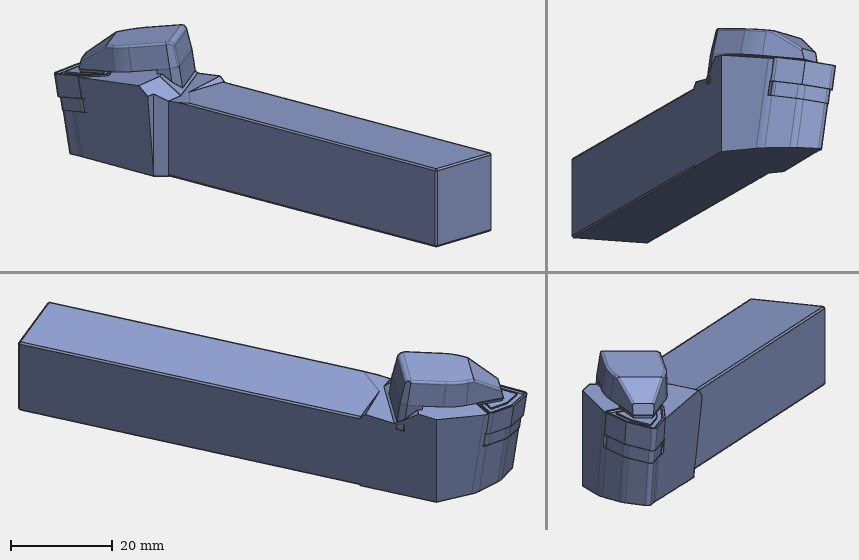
import cadquery as cq
import math

shank_end = 99.92
shank_size = 16.0
shank_chamfer = 0.35
tip_offset = 3.99
cutting_height = 16.35
seat_tilt = 8.45
far = 60.0

insert_circle = 9.525
insert_thickness = 4.76
corner_angle = 80.0
kink_angle = 160.0
tip_direction = 225.0
corner_spacing = 120.0
nose_radius = 0.8
rim_width = 0.4
groove_width = 1.2
groove_depth = 0.3
groove_wall_angle = 40.0
nose_setback = nose_radius * (math.sqrt(0.5) / math.sin(math.radians(corner_angle / 2)) - 1)

shim_thickness = 2.85
shim_inset = 0.3
support_inset = 0.38
shim_clearance = 0.1
support_kink_radius = 4.0

head_end = 27.5
head_wall_end = 25.4
head_wall_foot = -2.0
front_wall = 0.65
nose_support_end = 3.4
wall_step_length = 0.7
wall_lead_angle = 1.0
back_chamfer_start = 11.4
back_blend_radius = 5.0
back_edge_place = (4.5, 9.2)
deck_level = -0.3
floor_level = -4.25
step_along_clamp = 23.4
step_along_x = 23.35
step_angle = 45.0
end_slope = 40.0
head_blank_height = 24.0

clamp_turn = 30.0
clamp_rear = 26.9
clamp_back_side = 8.18
clamp_front_side = -4.6
rear_corner_back = (1.3, 0.8)
rear_corner_front = (1.7, 1.0)
front_bend = ((13.8, -3.97), (15.5, -4.45), (17.4, clamp_front_side))
back_bend = ((18.4, clamp_back_side), (16.0, 7.88), (13.6, 7.1))
clamp_top = 5.85
clamp_underside = 0.6
clamp_draft = 5.0
clamp_edge_radius = 0.5
clamp_rear_radius = 1.1
nose_start = 5.6
nose_back = 3.7
nose_front = -0.3
nose_height = 2.75
ridge = 12.65
ramp_foot = 6.5
foot_start = 22.5
foot_embed = 1.0
pad_inset = 0.2
pad_end = 11.0


def seat_to_part(shape):
    """Move a shape from the seat frame (tip at the origin, insert top at Z = 0) into the part."""
    tilted = shape.rotate((0, 0, 0), (1, -1, 0), seat_tilt)
    return tilted.translate((-nose_setback, -tip_offset - nose_setback, cutting_height))


def along_clamp(shape):
    return shape.rotate((0, 0, 0), (0, 0, 1), clamp_turn)


def polar(radius, angle):
    return radius * math.cos(math.radians(angle)), radius * math.sin(math.radians(angle))


edge_lead = 45 - corner_angle / 2
side_lead = 90 - edge_lead - (180 - kink_angle)
insert_radius = insert_circle / 2
insert_centre = polar(insert_radius / math.sin(math.radians(corner_angle / 2)), tip_direction - 180)


def trigon_point(inset, angle, corner):
    """Vertex of the inset outline, seen from the centre at `angle`, with that included angle."""
    radius = (insert_radius - inset) / math.sin(math.radians(corner / 2))
    x, y = polar(radius, angle)
    return insert_centre[0] + x, insert_centre[1] + y


def trigon_outline(inset):
    """Outline whose sides lie `inset` inside the insert's sides; tips and kinks alternate."""
    points = []
    for corner in range(3):
        tip_angle = tip_direction + corner * corner_spacing
        points.append(trigon_point(inset, tip_angle, corner_angle))
        points.append(trigon_point(inset, tip_angle + corner_spacing / 2, kink_angle))
    return points


def trigon(inset, top, depth, tip_radius=0.0, kink_radius=0.0):
    """Downward trigon prism with rounded corners."""
    points = trigon_outline(inset)
    prism = cq.Workplane().workplane(offset=top).polyline(points).close().extrude(-depth)
    for index, (x, y) in enumerate(points):
        radius = kink_radius if index % 2 else tip_radius
        if radius:
            edge = cq.selectors.NearestToPointSelector((x, y, top - depth / 2))
            prism = prism.edges("|Z").edges(edge).fillet(radius)
    return prism


def seat_block(level):
    """Everything above a level of the seat frame."""
    return cq.Workplane().workplane(offset=level).rect(2 * far, 2 * far).extrude(far)


def step_cut(start):
    """Everything beyond a sloping step from the deck down to the floor, along +X."""
    drop = deck_level - floor_level
    run = drop / math.tan(math.radians(step_angle))
    profile = [
        (start, deck_level),
        (start + run, floor_level),
        (start + far, floor_level),
        (start + far, far),
        (start, far),
    ]
    return cq.Workplane("XZ").polyline(profile).close().extrude(far, both=True)


insert_blank = trigon(0, 0, insert_thickness, nose_radius)
groove_run = groove_depth * math.tan(math.radians(groove_wall_angle))
groove = (
    cq.Workplane()
    .polyline(trigon_outline(rim_width))
    .close()
    .workplane(offset=-groove_depth)
    .polyline(trigon_outline(rim_width + groove_run))
    .close()
    .loft(ruled=True)
)
groove = groove.cut(trigon(rim_width + groove_width, 0, groove_depth))
insert = seat_to_part(insert_blank.cut(groove))

nose = trigon_point(support_inset, tip_direction, corner_angle)
side_kink = trigon_point(support_inset, tip_direction - corner_spacing / 2, kink_angle)
side_run = polar(far, side_lead)
support_rise = (nose_support_end - nose[0]) * math.tan(math.radians(edge_lead))
support_end = (nose_support_end, nose[1] + support_rise)
support_points = [
    nose,
    support_end,
    (nose_support_end + wall_step_length, front_wall),
    (far, front_wall - far * math.tan(math.radians(wall_lead_angle))),
    (far, far),
    (side_kink[0] + side_run[0], side_kink[1] + side_run[1]),
    side_kink,
]
support = cq.Workplane().workplane(offset=-far).polyline(support_points).close().extrude(2 * far)
for (x, y), radius in ((nose, nose_radius), (side_kink, support_kink_radius)):
    support = support.edges(cq.selectors.NearestToPointSelector((x, y, 0))).fillet(radius)

head_plan = [
    (head_end, 0),
    (head_end, shank_size),
    (back_chamfer_start, shank_size),
    (back_chamfer_start - far, shank_size - far),
    (head_wall_end, shank_size - far),
    (head_wall_end, head_wall_foot),
]
head = cq.Workplane().polyline(head_plan).close().extrude(head_blank_height)
head = head.intersect(seat_to_part(support))
back_edge = cq.selectors.NearestToPointSelector((*back_edge_place, head_blank_height / 2))
head = head.edges(back_edge).fillet(back_blend_radius)
head = head.cut(seat_to_part(seat_block(deck_level)))
head = head.cut(seat_to_part(along_clamp(step_cut(step_along_clamp))))
head = head.cut(seat_to_part(step_cut(step_along_x)))
end_cut = (
    cq.Workplane("XZ")
    .polyline([
        (head_end, shank_size),
        (head_end, far),
        (head_end - (far - shank_size) / math.tan(math.radians(end_slope)), far),
    ])
    .close()
    .extrude(far, both=True)
)
head = head.cut(end_cut)

head = head.cut(seat_to_part(insert_blank))
head = head.cut(seat_to_part(trigon(-shim_clearance, -insert_thickness, shim_thickness, nose_radius)))
shim = trigon(shim_inset, -insert_thickness, shim_thickness, nose_radius, support_kink_radius)
head = head.union(seat_to_part(shim))

shank = (
    cq.Workplane()
    .box(shank_end - head_end, shank_size, shank_size, centered=False)
    .edges("|X or >X")
    .chamfer(shank_chamfer)
    .translate((head_end, 0, 0))
)
shank = shank.cut(seat_to_part(seat_block(floor_level)))


def clamp_outline(level):
    """Clamp outline in its own axes, nose towards the origin, at a level of the seat frame."""
    return (
        cq.Workplane()
        .workplane(offset=level)
        .moveTo(nose_start, nose_front)
        .lineTo(*front_bend[0])
        .threePointArc(*front_bend[1:])
        .lineTo(clamp_rear - rear_corner_front[0], clamp_front_side)
        .lineTo(clamp_rear, clamp_front_side + rear_corner_front[1])
        .lineTo(clamp_rear, clamp_back_side - rear_corner_back[1])
        .lineTo(clamp_rear - rear_corner_back[0], clamp_back_side)
        .lineTo(*back_bend[0])
        .threePointArc(*back_bend[1:])
        .lineTo(nose_start, nose_back)
        .close()
    )


foot_bottom = floor_level - foot_embed
clamp_foot = clamp_outline(foot_bottom).extrude(clamp_underside - foot_bottom)
clamp_foot = clamp_foot.intersect(cq.Workplane().box(far, far, far).translate((foot_start + far / 2, 0, 0)))
clamp_pad = clamp_outline(0).offset2D(-pad_inset).extrude(clamp_underside)
clamp_pad = clamp_pad.intersect(cq.Workplane().box(far, far, far).translate((pad_end - far / 2, 0, 0)))

clamp_body = clamp_outline(clamp_underside).extrude(clamp_top - clamp_underside, taper=clamp_draft)
ramp = (
    cq.Workplane("XZ")
    .polyline([
        (ridge, clamp_top),
        (ramp_foot, nose_height),
        (nose_start, clamp_underside),
        (0, clamp_underside),
        (0, far),
        (ridge, far),
    ])
    .close()
    .extrude(far, both=True)
)
clamp_body = clamp_body.cut(ramp)
clamp_body = clamp_body.faces(">X").edges(">Z").fillet(clamp_rear_radius)
ramp_middle = ((ridge + ramp_foot) / 2, nose_back / 2, (clamp_top + nose_height) / 2)
crown = clamp_body.faces(">Z").add(clamp_body.faces(cq.selectors.NearestToPointSelector(ramp_middle)))
clamp_body = crown.edges("not |Y").fillet(clamp_edge_radius)
clamp = seat_to_part(along_clamp(clamp_body.union(clamp_foot).union(clamp_pad)))

holder = head.union(shank).union(clamp)
result = cq.Compound.makeCompound([holder.val(), insert.val()])